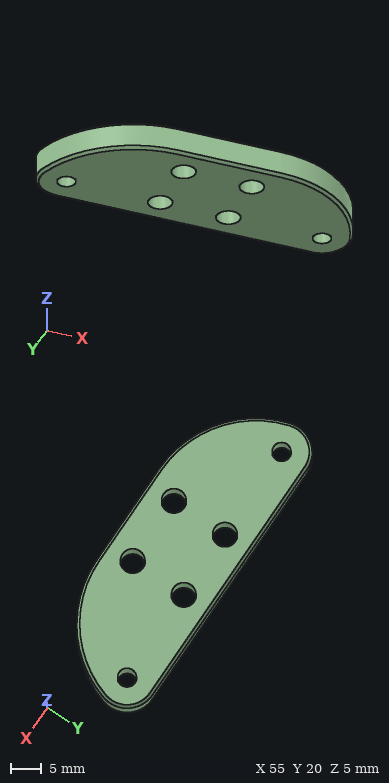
import cadquery as cq
import math

length = 55.0
width = 20.0
thickness = 5.0
edge_chamfer = 0.5

end_radius = 5.0
front_flat = 18.15

end_hole_diameter = 3.1
mount_hole_diameter = 4.0
mount_pitch_x = 12.0
mount_pitch_y = 10.0

back_y = width / 2
front_y = -width / 2
end_x = length / 2 - end_radius
end_y = back_y - end_radius
flat_x = front_flat / 2

offset_x = end_x - flat_x
offset_y = end_y - front_y
arc_radius = (offset_x**2 + offset_y**2 - end_radius**2) / (2 * (offset_y - end_radius))
arc_center_y = front_y + arc_radius
tangent_angle = math.atan2(end_y - arc_center_y, offset_x)


def point_on_circle(center_x, center_y, radius, angle):
    return (center_x + radius * math.cos(angle), center_y + radius * math.sin(angle))


def mirrored(point):
    return (-point[0], point[1])


def make_plate():
    end_middle = point_on_circle(end_x, end_y, end_radius, (math.pi / 2 + tangent_angle) / 2)
    tangent_point = point_on_circle(end_x, end_y, end_radius, tangent_angle)
    arc_middle = point_on_circle(flat_x, arc_center_y, arc_radius, (tangent_angle - math.pi / 2) / 2)
    plate = (
        cq.Workplane("XY")
        .moveTo(-end_x, back_y)
        .lineTo(end_x, back_y)
        .threePointArc(end_middle, tangent_point)
        .threePointArc(arc_middle, (flat_x, front_y))
        .lineTo(-flat_x, front_y)
        .threePointArc(mirrored(arc_middle), mirrored(tangent_point))
        .threePointArc(mirrored(end_middle), (-end_x, back_y))
        .close()
        .extrude(thickness)
    )
    return plate.faces("<Z or >Z").edges().chamfer(edge_chamfer)


def drill(plate, centers, diameter):
    holes = cq.Workplane("XY").pushPoints(centers).circle(diameter / 2).extrude(thickness)
    return plate.cut(holes)


end_centers = [(side * end_x, end_y) for side in (-1, 1)]

mount_centers = [
    (side * mount_pitch_x / 2, end_y - row * mount_pitch_y)
    for side in (-1, 1)
    for row in (0, 1)
]

result = make_plate()
result = drill(result, end_centers, end_hole_diameter)
result = drill(result, mount_centers, mount_hole_diameter)